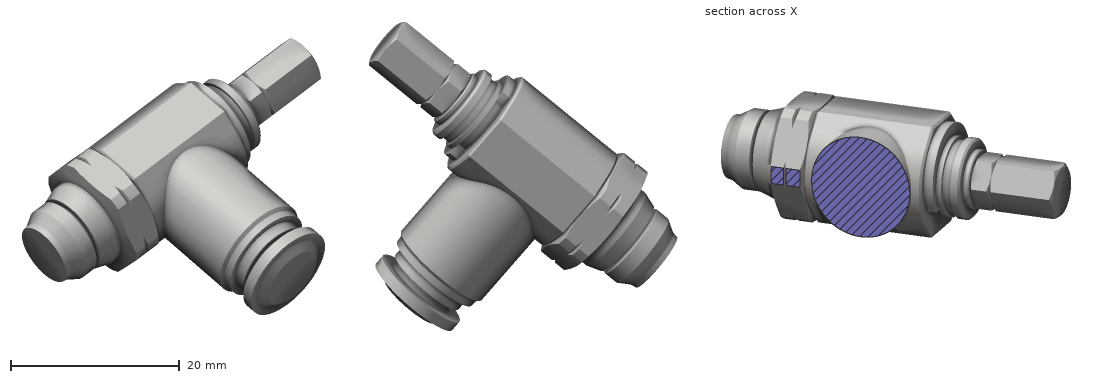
import cadquery as cq
import math


TOTAL_LENGTH = 42
ACROSS_FLATS = 14.0
BRANCH_END = 22.55
BRANCH_Y = 19.25

TIP_PROFILE = [(3.85, 0), (4.0, 0.7), (4.87, 2.2), (4.87, 4.0), (4.2, 4.25), (4.2, 4.5)]
SEAL_PROFILE = [(4.95, 4.5), (5.55, 6.25)]

NUT_BOTTOM = 7.25
NUT_TOP = 11.8
NUT_CORNER_RADIUS = 7.7
NUT_BOTTOM_RADIUS = 5.55
NUT_BOTTOM_BEVEL = 15
NUT_TOP_BEVEL = 30
NUT_GROOVE_Y = 9.55
NUT_GROOVE_DEPTH = 0.4
NUT_GROOVE_HALF_WIDTH = 0.25

BODY_TOP = 26.75
BODY_CHAMFER = 0.25

FLANGE_TOP = 27.9
FLANGE_RADIUS = 6.0
FLANGE_CENTRE_Z = 0.5
FLANGE_FLAT_Z = -3.0

NECK_RADIUS = 4.9
NECK_GROOVE_RADIUS = 4.5
NECK_GROOVE_BOTTOM = 28.5
NECK_GROOVE_TOP = 29.65
NECK_TOP = 30.8
NECK_CHAMFER = 0.25
SHOULDER_RADIUS = 3.65
SHOULDER_CHAMFER = 0.13

SMALL_ACROSS_FLATS = 6.0
LOCK_NUT_BOTTOM = 31.5
CAP_BOTTOM = 33.98
SMALL_HEX_END_RADIUS = 2.95
SMALL_HEX_BEVEL = 30

BRANCH_RADIUS = 6.3
BRANCH_LENGTH = 16.7
BRANCH_CHAMFER = 0.38
CARTRIDGE_END = 18.0
CARTRIDGE_RADIUS = 5.85
RING_END = 19.4
RING_RADIUS = 4.95
SLEEVE_RADIUS = 4.05
SLEEVE_FILLET = 0.4
RIM_START = 20.45
RIM_SIDE_END = 21.8
RIM_RADIUS = 6.0
RIM_STEP_RADIUS = 5.05
RIM_FACE_RADIUS = 3.9


def turned(profile):
    """Solid of revolution about Y from (radius, Y) corners listed upwards."""
    bottom = profile[0][1]
    top = profile[-1][1]
    outline = [(0, bottom)] + profile + [(0, top)]
    return cq.Workplane("XY").polyline(outline).close().revolve(360, (0, 0), (0, 1))


def cylinder(radius, bottom, top):
    return turned([(radius, bottom), (radius, top)])


def xz_plane(y):
    """Workplane at height y whose extrusions run up along +Y (local Y is -Z)."""
    return cq.Workplane(cq.Plane((0, y, 0), (1, 0, 0), (0, 1, 0)))


def hexagon(across_flats, bottom, top):
    """Hexagonal prism along Y with flats facing +Z and -Z."""
    corner_diameter = across_flats / math.cos(math.radians(30))
    return xz_plane(bottom).polygon(6, corner_diameter).extrude(top - bottom)


def bevel_height(radial_width, angle):
    return radial_width * math.tan(math.radians(angle))


def lower_nut():
    corner = NUT_CORNER_RADIUS
    top_radius = ACROSS_FLATS / 2
    bottom_bevel = bevel_height(corner - NUT_BOTTOM_RADIUS, NUT_BOTTOM_BEVEL)
    top_bevel = bevel_height(corner - top_radius, NUT_TOP_BEVEL)
    envelope = turned([
        (NUT_BOTTOM_RADIUS, NUT_BOTTOM),
        (corner, NUT_BOTTOM + bottom_bevel),
        (corner, NUT_GROOVE_Y - NUT_GROOVE_HALF_WIDTH),
        (corner - NUT_GROOVE_DEPTH, NUT_GROOVE_Y),
        (corner, NUT_GROOVE_Y + NUT_GROOVE_HALF_WIDTH),
        (corner, NUT_TOP - top_bevel),
        (top_radius, NUT_TOP),
    ])
    return hexagon(ACROSS_FLATS, NUT_BOTTOM, NUT_TOP).intersect(envelope)


def body():
    radius = ACROSS_FLATS / 2
    flat_half = radius * math.tan(math.radians(22.5))
    tangent = radius * math.cos(math.radians(45))
    outline = (
        xz_plane(NUT_TOP)
        .moveTo(-flat_half, radius)
        .lineTo(flat_half, radius)
        .lineTo(tangent, tangent)
        .threePointArc((radius, 0), (tangent, -tangent))
        .lineTo(flat_half, -radius)
        .lineTo(-flat_half, -radius)
        .lineTo(-tangent, -tangent)
        .threePointArc((-radius, 0), (-tangent, tangent))
        .close()
    )
    return outline.extrude(BODY_TOP - NUT_TOP).faces("<Y or >Y").chamfer(BODY_CHAMFER)


def flange():
    """Off-centre disc cut flat on its lower side."""
    height = FLANGE_TOP - BODY_TOP
    disc = xz_plane(BODY_TOP).center(0, -FLANGE_CENTRE_Z).circle(FLANGE_RADIUS).extrude(height)
    kept_depth = FLANGE_CENTRE_Z + FLANGE_RADIUS - FLANGE_FLAT_Z
    kept = cq.Workplane("XY").box(
        2 * FLANGE_RADIUS, height, kept_depth, centered=(True, False, False)
    ).translate((0, BODY_TOP, FLANGE_FLAT_Z))
    return disc.intersect(kept)


def neck():
    core = cylinder(NECK_GROOVE_RADIUS, BODY_TOP, NECK_TOP)
    lower_land = cylinder(NECK_RADIUS, FLANGE_TOP, NECK_GROOVE_BOTTOM)
    upper_land = turned([
        (NECK_RADIUS, NECK_GROOVE_TOP),
        (NECK_RADIUS, NECK_TOP - NECK_CHAMFER),
        (NECK_RADIUS - NECK_CHAMFER, NECK_TOP),
    ])
    shoulder = turned([
        (SHOULDER_RADIUS, NECK_TOP),
        (SHOULDER_RADIUS, LOCK_NUT_BOTTOM - SHOULDER_CHAMFER),
        (SHOULDER_RADIUS - SHOULDER_CHAMFER, LOCK_NUT_BOTTOM),
    ])
    return core.union(lower_land).union(upper_land).union(shoulder)


def small_hexagon(bottom, top):
    """Hexagon with its corners bevelled at both ends."""
    corner = SMALL_ACROSS_FLATS / 2 / math.cos(math.radians(30))
    bevel = bevel_height(corner - SMALL_HEX_END_RADIUS, SMALL_HEX_BEVEL)
    envelope = turned([
        (SMALL_HEX_END_RADIUS, bottom),
        (corner, bottom + bevel),
        (corner, top - bevel),
        (SMALL_HEX_END_RADIUS, top),
    ])
    return hexagon(SMALL_ACROSS_FLATS, bottom, top).intersect(envelope)


def branch():
    """Side tube, cartridge and release sleeve turned about an X-direction axis."""
    fillet_centre = (RIM_START - SLEEVE_FILLET, SLEEVE_RADIUS + SLEEVE_FILLET)
    diagonal = SLEEVE_FILLET * math.sqrt(0.5)
    fillet_middle = (fillet_centre[0] + diagonal, fillet_centre[1] - diagonal)
    outline = (
        cq.Workplane("XY", origin=(0, BRANCH_Y, 0))
        .lineTo(0, BRANCH_RADIUS)
        .lineTo(BRANCH_LENGTH, BRANCH_RADIUS)
        .lineTo(BRANCH_LENGTH + BRANCH_CHAMFER, BRANCH_RADIUS - BRANCH_CHAMFER)
        .lineTo(CARTRIDGE_END, CARTRIDGE_RADIUS)
        .lineTo(CARTRIDGE_END, RING_RADIUS)
        .lineTo(RING_END, RING_RADIUS)
        .lineTo(RING_END, SLEEVE_RADIUS)
        .lineTo(fillet_centre[0], SLEEVE_RADIUS)
        .threePointArc(fillet_middle, (RIM_START, fillet_centre[1]))
        .lineTo(RIM_START, RIM_RADIUS)
        .lineTo(RIM_SIDE_END, RIM_RADIUS)
        .lineTo(RIM_SIDE_END, RIM_STEP_RADIUS)
        .lineTo(BRANCH_END, RIM_FACE_RADIUS)
        .lineTo(BRANCH_END, 0)
        .close()
    )
    return outline.revolve(360, (0, 0), (1, 0))


result = turned(TIP_PROFILE)
sections = [
    turned(SEAL_PROFILE + [(NUT_BOTTOM_RADIUS, NUT_BOTTOM)]),
    lower_nut(),
    body(),
    flange(),
    neck(),
    small_hexagon(LOCK_NUT_BOTTOM, CAP_BOTTOM),
    small_hexagon(CAP_BOTTOM, TOTAL_LENGTH),
    branch(),
]
for section in sections:
    result = result.union(section)